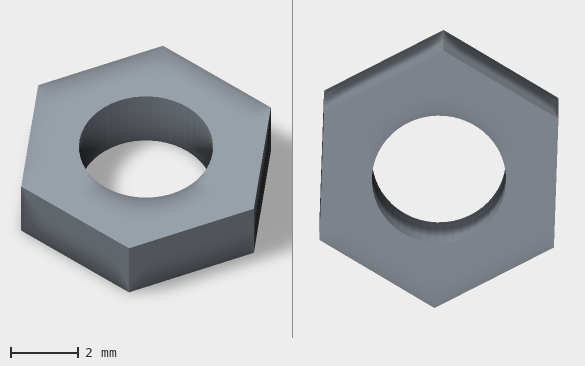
import cadquery as cq
import math

overall_width = 7.91
thickness = 2.0
hole_diameter = 4.0
turn_angle = 11.85

corner_diameter = overall_width / math.cos(math.radians(turn_angle))

hexagon = cq.Workplane("XY").polygon(6, corner_diameter).extrude(thickness)
nut = hexagon.faces(">Z").workplane().hole(hole_diameter)

result = nut.rotate((0, 0, 0), (0, 0, 1), turn_angle)